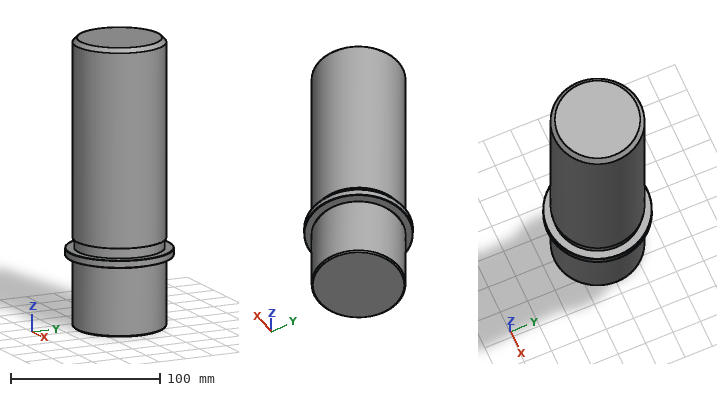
import cadquery as cq

total_height = 199.0
body_diameter = 63.0
neck_diameter = 60.9
flange_diameter = 73.0

spigot_top = 47.5
flange_bottom = 49.0
flange_top = 54.1
upper_body_bottom = 61.0

top_chamfer = 3.0
bottom_chamfer = 1.0
flange_chamfer = 0.4


def cylinder(diameter, bottom, top):
    """Cylinder on the Z axis between two heights."""
    return cq.Workplane("XY").workplane(offset=bottom).circle(diameter / 2).extrude(top - bottom)


spigot = cylinder(body_diameter, 0, spigot_top).faces("<Z").edges().chamfer(bottom_chamfer)

neck = cylinder(neck_diameter, spigot_top, upper_body_bottom)

flange = cylinder(flange_diameter, flange_bottom, flange_top)
flange = flange.faces("<Z or >Z").edges().chamfer(flange_chamfer)

upper_body = cylinder(body_diameter, upper_body_bottom, total_height)
upper_body = upper_body.faces(">Z").edges().chamfer(top_chamfer)

result = spigot.union(neck).union(flange).union(upper_body)